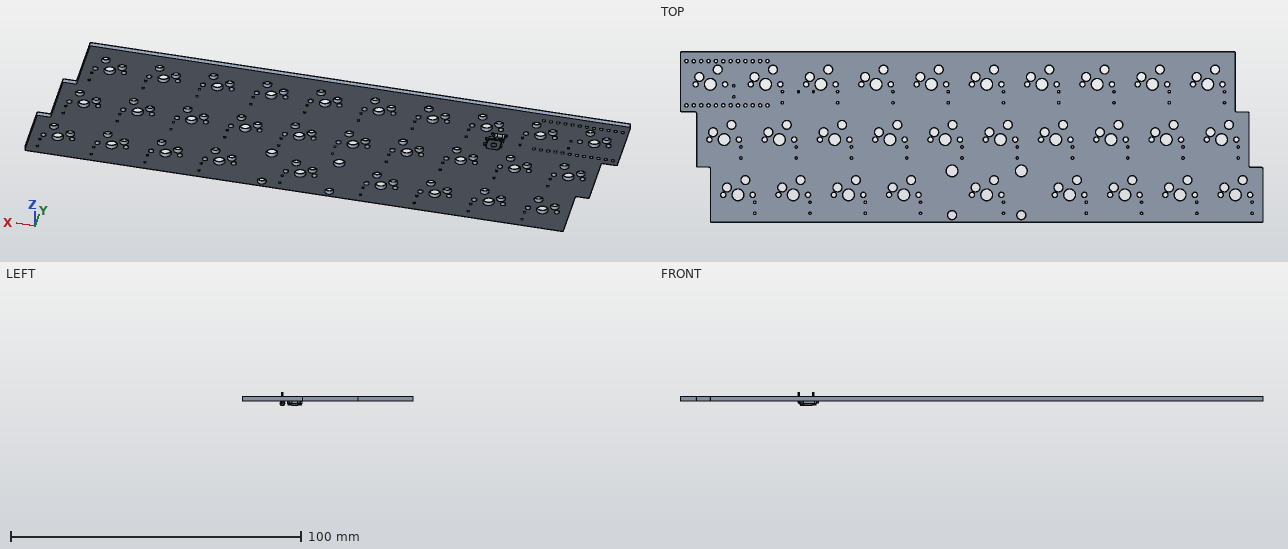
import cadquery as cq
KEY_PITCH = 19.05
ROW_STAGGER = KEY_PITCH / 4
ROW_COUNT = 3
KEYS_PER_ROW = 10
KEYS_BEFORE_WIDE_KEY = 4

BOARD_LENGTH = 200.79
BOARD_WIDTH = 58.93
BOARD_THICKNESS = 1.6
CORNER_RADIUS = 0.5

KEY_TO_EDGE = KEY_PITCH / 2
ROW_SPAN = (KEYS_PER_ROW - 1) * KEY_PITCH
LAST_ROW_SHIFT = (ROW_COUNT - 1) * ROW_STAGGER

LEFT_EDGE = -BOARD_LENGTH / 2
BOTTOM_EDGE = -BOARD_WIDTH / 2
TOP_EDGE = BOARD_WIDTH / 2
FIRST_KEY_X = BOARD_LENGTH / 2 - KEY_TO_EDGE - ROW_SPAN - LAST_ROW_SHIFT
LAST_ROW_Y = BOTTOM_EDGE + KEY_TO_EDGE
FIRST_ROW_Y = LAST_ROW_Y + (ROW_COUNT - 1) * KEY_PITCH

SWITCH_GRID = 1.27
STEM_DIAMETER = 3.99
PEG_DIAMETER = 1.75
PEG_OFFSET = 4 * SWITCH_GRID
CONTACT_DIAMETER = 3.0
CONTACT_OFFSETS = [(-3 * SWITCH_GRID, 2 * SWITCH_GRID), (2 * SWITCH_GRID, 4 * SWITCH_GRID)]

STABILIZER_OFFSET_X = 11.938
STABILIZER_LARGE_DIAMETER = 3.99
STABILIZER_LARGE_OFFSET_Y = 8.255
STABILIZER_SMALL_DIAMETER = 3.05
STABILIZER_SMALL_OFFSET_Y = -6.985

DIODE_DIAMETER = 0.8
DIODE_SPACING = 3.81
DIODE_OFFSET = (5.775, -2.54)
FIRST_DIODE_OFFSET = (8.1, -0.5)

HEADER_DIAMETER = 1.1
HEADER_PITCH = 2.54
HEADER_COUNT = 12
HEADER_ROW_SPACING = 6 * HEADER_PITCH
HEADER_OFFSET = (-8.245, 8.0)
HEADER_FIRST_X = FIRST_KEY_X + HEADER_OFFSET[0]
HEADER_TOP_Y = FIRST_ROW_Y + HEADER_OFFSET[1]

RESISTOR_HOLE_DIAMETER = 0.7
RESISTOR_PITCH = 5.08
RESISTOR_X = LEFT_EDGE + 43.25
RESISTOR_Y = TOP_EDGE - 13.85
LEAD_DIAMETER = 0.5
LEAD_PROTRUSION = 1.4
LEAD_BEND_RADIUS = 0.7
RESISTOR_LENGTH = 3.6
RESISTOR_CAP_DIAMETER = 1.6
RESISTOR_MIDDLE_DIAMETER = 1.44
RESISTOR_CAP_LENGTH = 0.9
RESISTOR_AXIS_Z = -RESISTOR_CAP_DIAMETER / 2

BUTTON_X = LEFT_EDGE + 44.3
BUTTON_Y = TOP_EDGE - 18.1
BUTTON_BASE_SIZE = 5.0
BUTTON_CORNER_CUT = 0.6
BUTTON_BASE_HEIGHT = 0.8
BUTTON_COVER_SIZE = 4.8
BUTTON_COVER_HEIGHT = 1.3
BUTTON_CAP_DIAMETER = 2.0
BUTTON_HEIGHT = 1.5
TERMINAL_SPAN = 6.4
TERMINAL_WIDTH = 0.8
TERMINAL_SPACING = 2.8
TERMINAL_THICKNESS = 0.6


def row_y(row):
    return FIRST_ROW_Y - row * KEY_PITCH


def row_start_x(row):
    return FIRST_KEY_X + row * ROW_STAGGER


def wide_key_center():
    row = ROW_COUNT - 1
    return row_start_x(row) + (KEYS_BEFORE_WIDE_KEY + 0.5) * KEY_PITCH, row_y(row)


def key_centers():
    """Key centres, the first key of the first row leading the list."""
    centers = []
    for row in range(ROW_COUNT - 1):
        for column in range(KEYS_PER_ROW):
            centers.append((row_start_x(row) + column * KEY_PITCH, row_y(row)))
    last_row = ROW_COUNT - 1
    wide_key_columns = (KEYS_BEFORE_WIDE_KEY, KEYS_BEFORE_WIDE_KEY + 1)
    for column in range(KEYS_PER_ROW):
        if column not in wide_key_columns:
            centers.append((row_start_x(last_row) + column * KEY_PITCH, row_y(last_row)))
    centers.append(wide_key_center())
    return centers


def shifted(points, offset):
    return [(x + offset[0], y + offset[1]) for x, y in points]


def board_blank():
    """Stepped plate following the stagger of the rows."""
    row_tops = [TOP_EDGE] + [row_y(row) + KEY_PITCH / 2 for row in range(1, ROW_COUNT)]
    row_bottoms = row_tops[1:] + [BOTTOM_EDGE]
    left_side = []
    right_side = []
    for row in range(ROW_COUNT):
        left = LEFT_EDGE if row == 0 else row_start_x(row) - KEY_TO_EDGE
        right = row_start_x(row) + ROW_SPAN + KEY_TO_EDGE
        left_side += [(left, row_tops[row]), (left, row_bottoms[row])]
        right_side += [(right, row_tops[row]), (right, row_bottoms[row])]
    outline = left_side + right_side[::-1]
    blank = cq.Workplane("XY").polyline(outline).close().extrude(BOARD_THICKNESS)
    return blank.edges("|Z").fillet(CORNER_RADIUS)


def drilled(board, points, diameter):
    """Cut round holes of one size through the board."""
    pins = cq.Workplane("XY").pushPoints(points).circle(diameter / 2).extrude(BOARD_THICKNESS)
    return board.cut(pins)


def resistor_hole_points():
    half_pitch = RESISTOR_PITCH / 2
    return [(RESISTOR_X - half_pitch, RESISTOR_Y), (RESISTOR_X + half_pitch, RESISTOR_Y)]


def make_board():
    board = board_blank()
    keys = key_centers()

    board = drilled(board, keys, STEM_DIAMETER)
    for side in (-1, 1):
        board = drilled(board, shifted(keys, (side * PEG_OFFSET, 0)), PEG_DIAMETER)
    for offset in CONTACT_OFFSETS:
        board = drilled(board, shifted(keys, offset), CONTACT_DIAMETER)

    for side in (-1, 1):
        x_offset = side * STABILIZER_OFFSET_X
        large = shifted([wide_key_center()], (x_offset, STABILIZER_LARGE_OFFSET_Y))
        small = shifted([wide_key_center()], (x_offset, STABILIZER_SMALL_OFFSET_Y))
        board = drilled(board, large, STABILIZER_LARGE_DIAMETER)
        board = drilled(board, small, STABILIZER_SMALL_DIAMETER)

    upper_holes = shifted(keys[:1], FIRST_DIODE_OFFSET) + shifted(keys[1:], DIODE_OFFSET)
    lower_holes = shifted(upper_holes, (0, -DIODE_SPACING))
    board = drilled(board, upper_holes + lower_holes, DIODE_DIAMETER)

    top_header = [(HEADER_FIRST_X + i * HEADER_PITCH, HEADER_TOP_Y) for i in range(HEADER_COUNT)]
    bottom_header = shifted(top_header, (0, -HEADER_ROW_SPACING))
    board = drilled(board, top_header + bottom_header, HEADER_DIAMETER)

    return drilled(board, resistor_hole_points(), RESISTOR_HOLE_DIAMETER)


def make_resistor():
    """Body with two thicker ends on one bent wire whose legs rise through the board."""
    body = (
        cq.Workplane("YZ", origin=(RESISTOR_X - RESISTOR_LENGTH / 2, RESISTOR_Y, RESISTOR_AXIS_Z))
        .circle(RESISTOR_MIDDLE_DIAMETER / 2)
        .extrude(RESISTOR_LENGTH)
    )
    for cap_start in (-RESISTOR_LENGTH / 2, RESISTOR_LENGTH / 2 - RESISTOR_CAP_LENGTH):
        cap = (
            cq.Workplane("YZ", origin=(RESISTOR_X + cap_start, RESISTOR_Y, RESISTOR_AXIS_Z))
            .circle(RESISTOR_CAP_DIAMETER / 2)
            .extrude(RESISTOR_CAP_LENGTH)
        )
        body = body.union(cap)

    lead_tip_z = BOARD_THICKNESS + LEAD_PROTRUSION
    half_pitch = RESISTOR_PITCH / 2
    bend = LEAD_BEND_RADIUS
    path = (
        cq.Workplane("XZ", origin=(RESISTOR_X, RESISTOR_Y, 0))
        .moveTo(-half_pitch, lead_tip_z)
        .lineTo(-half_pitch, RESISTOR_AXIS_Z + bend)
        .radiusArc((-half_pitch + bend, RESISTOR_AXIS_Z), -bend)
        .lineTo(half_pitch - bend, RESISTOR_AXIS_Z)
        .radiusArc((half_pitch, RESISTOR_AXIS_Z + bend), -bend)
        .lineTo(half_pitch, lead_tip_z)
    )
    tip = cq.Workplane("XY", origin=(RESISTOR_X - half_pitch, RESISTOR_Y, lead_tip_z))
    wire = tip.circle(LEAD_DIAMETER / 2).sweep(path)
    return body.union(wire)


def make_push_button():
    """Square base with cut corners, a smaller cover, a round cap and terminals against the board."""
    underside = cq.Workplane("XY", origin=(BUTTON_X, BUTTON_Y, 0))

    def cut_corner_block(size, height):
        block = underside.rect(size, size).extrude(-height)
        return block.edges("|Z").chamfer(BUTTON_CORNER_CUT)

    base = cut_corner_block(BUTTON_BASE_SIZE, BUTTON_BASE_HEIGHT)
    cover = cut_corner_block(BUTTON_COVER_SIZE, BUTTON_COVER_HEIGHT)
    cap = underside.circle(BUTTON_CAP_DIAMETER / 2).extrude(-BUTTON_HEIGHT)
    terminals = (
        underside.rarray(1, TERMINAL_SPACING, 1, 2)
        .rect(TERMINAL_SPAN, TERMINAL_WIDTH)
        .extrude(-TERMINAL_THICKNESS)
    )
    return base.union(cover).union(cap).union(terminals)


board = make_board()
resistor = make_resistor()
push_button = make_push_button()

result = cq.Compound.makeCompound([board.val(), resistor.val(), push_button.val()])